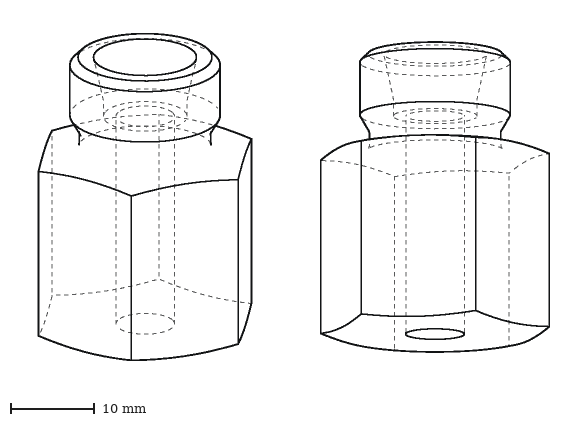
import cadquery as cq
import math

total_height = 34.0
hex_height = 22.0
across_flats = 24.0
across_corners = across_flats / math.cos(math.radians(30))

corner_chamfer_angle = 15.0

spigot_diameter = 18.0
spigot_chamfer = 1.0
shoulder_top = 26.6
shoulder_half_angle = 30.0
neck_diameter = 15.7
neck_fillet = 1.0

mouth_diameter = 12.3
counterbore_diameter = 10.0
through_diameter = 7.0
taper_half_angle = 12.0
counterbore_depth = 7.5


def make_hexagon():
    """Hexagon with flats facing X and both ends' corners turned off."""
    prism = (
        cq.Workplane("XY")
        .polygon(6, across_corners)
        .extrude(hex_height)
        .rotate((0, 0, 0), (0, 0, 1), 30)
    )
    flat_radius = across_flats / 2
    corner_radius = across_corners / 2
    drop = (corner_radius - flat_radius) * math.tan(math.radians(corner_chamfer_angle))
    envelope = (
        cq.Workplane("XZ")
        .moveTo(0, 0)
        .lineTo(flat_radius, 0)
        .lineTo(corner_radius, drop)
        .lineTo(corner_radius, hex_height - drop)
        .lineTo(flat_radius, hex_height)
        .lineTo(0, hex_height)
        .close()
        .revolve(360, (0, 0, 0), (0, 1, 0))
    )
    return prism.intersect(envelope)


def make_spigot():
    """Turned spigot with a neck flaring into the hexagon's top face."""
    radius = spigot_diameter / 2
    neck_radius = neck_diameter / 2
    slope = math.radians(shoulder_half_angle)
    cone_start_radius = neck_radius + neck_fillet * (1 - math.cos(slope))
    cone_start_height = shoulder_top - (radius - cone_start_radius) / math.tan(slope)
    neck_top = cone_start_height - neck_fillet * math.sin(slope)
    return (
        cq.Workplane("XZ")
        .moveTo(0, hex_height)
        .lineTo(neck_radius + neck_fillet, hex_height)
        .radiusArc((neck_radius, hex_height + neck_fillet), neck_fillet)
        .lineTo(neck_radius, neck_top)
        .radiusArc((cone_start_radius, cone_start_height), neck_fillet)
        .lineTo(radius, shoulder_top)
        .lineTo(radius, total_height - spigot_chamfer)
        .lineTo(radius - spigot_chamfer, total_height)
        .lineTo(0, total_height)
        .close()
        .revolve(360, (0, 0, 0), (0, 1, 0))
    )


def make_bore():
    """Stepped passage through the whole part, tapered at the top."""
    mouth_radius = mouth_diameter / 2
    counterbore_radius = counterbore_diameter / 2
    through_radius = through_diameter / 2
    taper_depth = (mouth_radius - counterbore_radius) / math.tan(math.radians(taper_half_angle))
    taper_bottom = total_height - taper_depth
    counterbore_floor = total_height - counterbore_depth
    return (
        cq.Workplane("XZ")
        .moveTo(0, 0)
        .lineTo(through_radius, 0)
        .lineTo(through_radius, counterbore_floor)
        .lineTo(counterbore_radius, counterbore_floor)
        .lineTo(counterbore_radius, taper_bottom)
        .lineTo(mouth_radius, total_height)
        .lineTo(0, total_height)
        .close()
        .revolve(360, (0, 0, 0), (0, 1, 0))
    )


result = make_hexagon().union(make_spigot()).cut(make_bore())